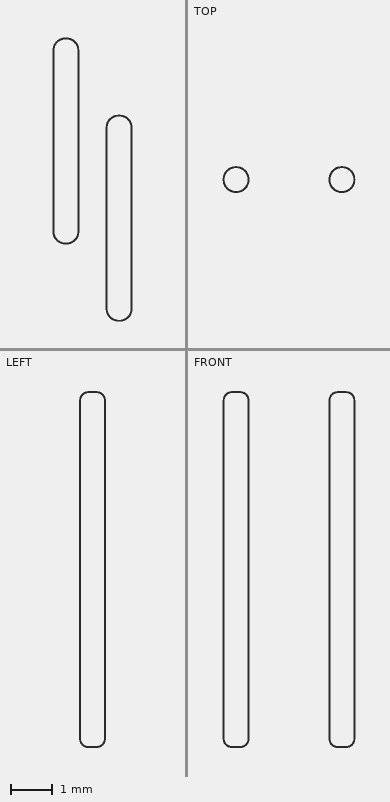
import cadquery as cq

pin_length = 8.5
pin_diameter = 0.6
pin_pitch = 2.53
end_fillet = 0.2

pin_count = 2


def make_pin(axis_x):
    """Straight round pin along Z, centred on Z = 0, with both ends rounded."""
    return (
        cq.Workplane("XY", origin=(axis_x, 0, -pin_length / 2))
        .circle(pin_diameter / 2)
        .extrude(pin_length)
        .edges("%CIRCLE and (>Z or <Z)")
        .fillet(end_fillet)
    )


first_pin_x = -pin_pitch * (pin_count - 1) / 2
pins = [make_pin(first_pin_x + index * pin_pitch) for index in range(pin_count)]

result = cq.Compound.makeCompound([pin.val() for pin in pins])